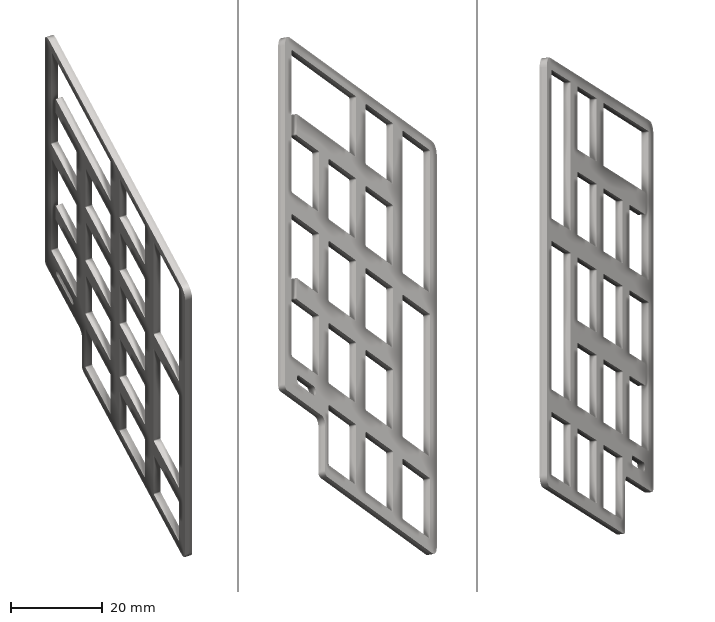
import cadquery as cq

width = 78.0
height = 95.5
thickness = 1.6
upper_radius = 2.5
lower_right_radius = 2.2
lower_left_radius = 1.05

notch_width = 20.6
notch_height = 13.3
notch_inner_radius = 1.8

pitch = 19.0
window_size = 14.0
window_radius = 0.3
columns = 4
rows = 5
top_margin = 2.5
side_margin = (width - (columns - 1) * pitch - window_size) / 2

gap_width = 2.4

slot_length = 9.6
slot_width = 2.1
slot_center_x = 11.0
slot_center_z = 17.7


def block(left, bottom, size_x, size_z):
    """Box through the plate thickness, placed by its lower left corner."""
    return cq.Workplane("XY").box(size_x, thickness, size_z, centered=False).translate((left, 0, bottom))


def window_block(column, row, column_span=1, row_span=1):
    """Sharp-cornered window over one or more grid places, counted from the top left."""
    size_x = (column_span - 1) * pitch + window_size
    size_z = (row_span - 1) * pitch + window_size
    left = side_margin + column * pitch
    top = height - top_margin - row * pitch
    return block(left, top - size_z, size_x, size_z)


def joined_windows(upper_row, upper_span):
    """Two windows of the left column, one above the other, joined by a gap at the left edge."""
    upper = window_block(0, upper_row, column_span=upper_span)
    lower = window_block(0, upper_row + 1)
    gap_bottom = height - top_margin - (upper_row + 1) * pitch - window_size / 2
    gap = block(side_margin, gap_bottom, gap_width, pitch)
    return upper.union(lower).union(gap).clean()


def round_corner(body, x, z, radius):
    """Round the plate corner at (x, z)."""
    nearest = cq.selectors.NearestToPointSelector((x, thickness / 2, z))
    return body.edges("|Y").edges(nearest).fillet(radius)


def plate():
    """Outline with the notch cut away and every corner rounded."""
    body = block(0, 0, width, height).cut(block(0, 0, notch_width, notch_height))
    body = round_corner(body, 0, height, upper_radius)
    body = round_corner(body, width, height, upper_radius)
    body = round_corner(body, width, 0, lower_right_radius)
    body = round_corner(body, 0, notch_height, lower_left_radius)
    body = round_corner(body, notch_width, 0, lower_left_radius)
    return round_corner(body, notch_width, notch_height, notch_inner_radius)


def slot():
    """Cutter for the small slot with round ends."""
    return (
        cq.Workplane("XZ", origin=(slot_center_x, 0, slot_center_z))
        .slot2D(slot_length, slot_width)
        .extrude(-thickness)
    )


openings = [joined_windows(0, upper_span=2), joined_windows(2, upper_span=1)]

openings += [window_block(1, row) for row in range(1, rows)]
openings += [window_block(2, row) for row in range(rows)]

openings += [window_block(3, row, row_span=2) for row in (0, 2)]
openings.append(window_block(3, rows - 1))

result = plate()
for opening in openings:
    result = result.cut(opening.edges("|Y").fillet(window_radius))
result = result.cut(slot())

result = result.translate((-width / 2, -thickness / 2, -height / 2))